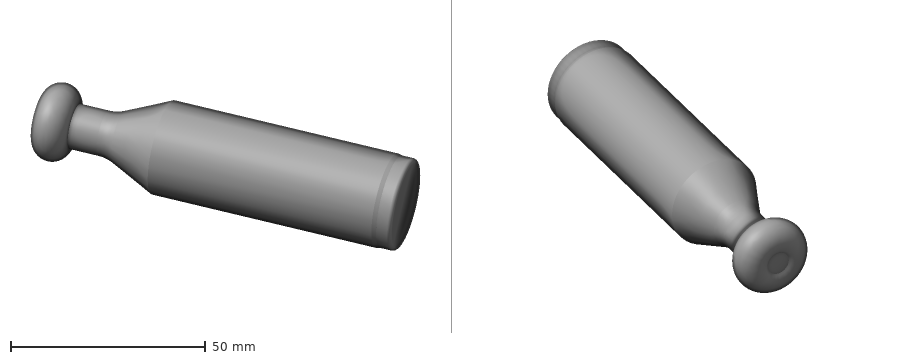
import cadquery as cq
import math

overall_length = 100.0
grip_radius = 25.0 / 2
neck_radius = 12.0 / 2
cap_radius = 24.5 / 2

head_length = 10.0
head_radius = 10.4
dimple_floor_radius = 3.1

blend_start = 17.8
blend_radius = 10.0
cone_angle = math.radians(25)

cap_length = 4.0
cap_fillet = 1.0
bevel_length = 1.2

section_radius = head_length / 2
section_center_radius = head_radius - section_radius


def head_half_width(radius):
    """Distance from the head's mid plane to its rounded surface at a radius."""
    return math.sqrt(section_radius**2 - (radius - section_center_radius) ** 2)


def make_grip():
    """Head, neck, shoulder and cylindrical grip, revolved as one body."""
    head_center = head_length / 2
    dimple_floor = head_center - head_half_width(dimple_floor_radius)
    neck_start = head_center + head_half_width(neck_radius)

    blend_mid = (
        blend_start + blend_radius * math.sin(cone_angle / 2),
        neck_radius + blend_radius * (1 - math.cos(cone_angle / 2)),
    )
    blend_end = blend_start + blend_radius * math.sin(cone_angle)
    blend_end_radius = neck_radius + blend_radius * (1 - math.cos(cone_angle))
    cone_end = blend_end + (grip_radius - blend_end_radius) / math.tan(cone_angle)

    grip_end = overall_length - cap_length
    return (
        cq.Workplane("XY")
        .moveTo(dimple_floor, 0)
        .lineTo(dimple_floor, dimple_floor_radius)
        .threePointArc((head_center, head_radius), (neck_start, neck_radius))
        .lineTo(blend_start, neck_radius)
        .threePointArc(blend_mid, (blend_end, blend_end_radius))
        .lineTo(cone_end, grip_radius)
        .lineTo(grip_end - bevel_length, grip_radius)
        .lineTo(grip_end, cap_radius)
        .lineTo(grip_end, 0)
        .close()
        .revolve(360, (0, 0, 0), (1, 0, 0))
    )


def make_end_cap():
    """Disc seated on the grip's end face, with a rounded outer rim."""
    return (
        cq.Workplane("YZ", origin=(overall_length - cap_length, 0, 0))
        .circle(cap_radius)
        .extrude(cap_length)
        .faces(">X")
        .edges()
        .fillet(cap_fillet)
    )


grip = make_grip()
end_cap = make_end_cap()
result = cq.Compound.makeCompound([grip.val(), end_cap.val()])